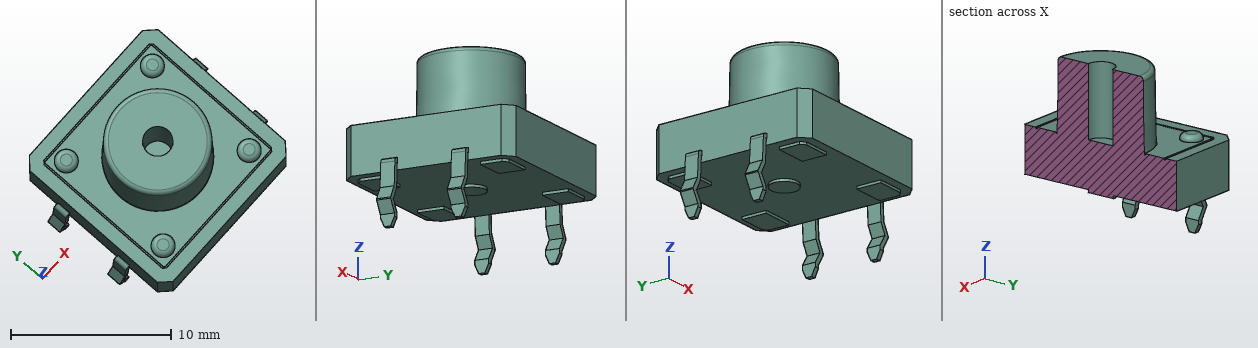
import cadquery as cq


housing_side = 12.0
housing_height = 3.3
housing_corner = 0.7

cover_side = 10.01
cover_corner = 0.07
groove_width = 0.11
groove_depth = 0.1

button_height = 5.01
button_base_radius = 3.47
button_top_radius = 3.38
button_edge_radius = 0.3
button_hole_radius = 0.95
button_clearance = 0.03

rivet_offset = 4.04
rivet_radius = 0.75
rivet_height = 0.42
rivet_edge_radius = 0.37

standoff_height = 0.2
pad_outer = 5.33
pad_length_x = 2.43
pad_length_y = 1.85
pad_corner = 0.32
disc_radius = 1.0

lead_span = 13.87
lead_offset_y = 2.5
lead_width = 1.0
lead_bottom = -3.69
lead_top = 0.79
lead_shoulder_z = 0.49
lead_shoulder_out = 0.37
lead_knee_z = -1.14
lead_knee_out = 0.47
lead_elbow_z = -2.01
lead_elbow_flat = 0.08
lead_bend_shift = 0.08
lead_ankle_z = -2.88
lead_foot_out = 0.43
lead_thickness = 0.32
lead_foot_thickness = 0.36
lead_root = 0.28
lead_tip_width = 0.45
lead_taper_height = 0.6


def square_with_cut_corners(side, corner, height, base_z):
    block = cq.Workplane("XY", origin=(0, 0, base_z)).rect(side, side).extrude(height)
    return block.edges("|Z").chamfer(corner)


def make_housing():
    """Block with grooves cut around the cover plate and around the base of the button."""
    housing = square_with_cut_corners(housing_side, housing_corner, housing_height, 0)
    groove_floor = housing_height - groove_depth
    groove = square_with_cut_corners(
        cover_side + 2 * groove_width, cover_corner + groove_width, groove_depth, groove_floor
    )
    cover = square_with_cut_corners(cover_side, cover_corner, groove_depth, groove_floor)
    clearance_ring = (
        cq.Workplane("XY", origin=(0, 0, groove_floor))
        .circle(button_base_radius + button_clearance)
        .circle(button_base_radius)
        .extrude(groove_depth)
    )
    return housing.cut(groove.cut(cover)).cut(clearance_ring)


def make_button():
    """Tapered cap with a rounded top edge and a blind hole reaching down to the cover."""
    profile = (
        cq.Workplane("XZ", origin=(0, 0, housing_height))
        .moveTo(button_hole_radius, 0)
        .lineTo(button_base_radius, 0)
        .lineTo(button_top_radius, button_height)
        .lineTo(button_hole_radius, button_height)
        .close()
    )
    button = profile.revolve(360, (0, 0), (0, 1))
    top_rim = cq.selectors.RadiusNthSelector(-1)
    return button.faces(">Z").edges(top_rim).fillet(button_edge_radius)


def make_rivets():
    """Four rounded heads near the corners of the cover."""
    return (
        cq.Workplane("XY", origin=(0, 0, housing_height))
        .rect(2 * rivet_offset, 2 * rivet_offset, forConstruction=True)
        .vertices()
        .circle(rivet_radius)
        .extrude(rivet_height)
        .faces(">Z")
        .edges()
        .fillet(rivet_edge_radius)
    )


def make_standoffs():
    """Central disc and four corner pads whose outer corners are cut off."""
    standoffs = cq.Workplane("XY").circle(disc_radius).extrude(-standoff_height)
    pad = (
        cq.Workplane("XY")
        .moveTo(pad_outer - pad_length_x / 2, pad_outer - pad_length_y / 2)
        .rect(pad_length_x, pad_length_y)
        .extrude(-standoff_height)
        .edges("|Z and >X and >Y")
        .chamfer(pad_corner)
    )
    pad_pair = pad.union(pad.mirror("YZ"))
    return standoffs.union(pad_pair).union(pad_pair.mirror("XZ"))


def make_lead():
    """Bent strip on the +X side, centred on Y = 0, with a tapered tip.

    The inner bends sit slightly above or below the outer ones, and the root is buried in the housing.
    """
    wall = housing_side / 2
    shoulder_x = wall + lead_shoulder_out
    knee_x = wall + lead_knee_out
    elbow_x = lead_span / 2
    foot_x = wall + lead_foot_out
    strip = (
        cq.Workplane("XZ")
        .moveTo(wall - lead_root, lead_top)
        .lineTo(shoulder_x - (lead_top - lead_shoulder_z), lead_top)
        .tangentArcPoint((shoulder_x, lead_shoulder_z), relative=False)
        .lineTo(knee_x, lead_knee_z)
        .lineTo(elbow_x, lead_elbow_z + lead_elbow_flat / 2)
        .lineTo(elbow_x, lead_elbow_z - lead_elbow_flat / 2)
        .lineTo(foot_x, lead_ankle_z)
        .lineTo(foot_x, lead_bottom)
        .lineTo(foot_x - lead_foot_thickness, lead_bottom)
        .lineTo(foot_x - lead_foot_thickness, lead_ankle_z + lead_bend_shift)
        .lineTo(elbow_x - lead_foot_thickness, lead_elbow_z)
        .lineTo(knee_x - lead_thickness, lead_knee_z - lead_bend_shift)
        .lineTo(shoulder_x - lead_thickness, lead_top - lead_thickness)
        .lineTo(wall - lead_root, lead_top - lead_thickness)
        .close()
        .extrude(lead_width / 2, both=True)
    )
    taper_top = lead_bottom + lead_taper_height
    outline = (
        cq.Workplane("YZ")
        .moveTo(-lead_width / 2, lead_top)
        .lineTo(-lead_width / 2, taper_top)
        .lineTo(-lead_tip_width / 2, lead_bottom)
        .lineTo(lead_tip_width / 2, lead_bottom)
        .lineTo(lead_width / 2, taper_top)
        .lineTo(lead_width / 2, lead_top)
        .close()
        .extrude(lead_span)
    )
    return strip.intersect(outline)


result = make_housing().union(make_button()).union(make_rivets()).union(make_standoffs())

right_lead = make_lead()
for lead in (right_lead, right_lead.mirror("YZ")):
    for lead_y in (-lead_offset_y, lead_offset_y):
        result = result.union(lead.translate((0, lead_y, 0)))